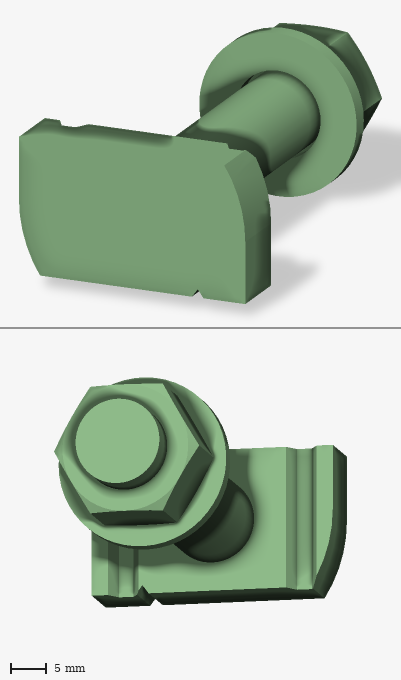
import cadquery as cq
import math


head_length = 34.5
head_height = 20.0
head_thickness = 9.0
corner_radius = 20.0
corner_rise = 10.85
shank_diameter = 12.0
bolt_length = 69.0

groove_spacing = 25.5
groove_floor = 2.1
groove_depth = 2.0
groove_flank_angle = 30.0

notch_x = 10.0
notch_width = 1.8
notch_depth = 1.2

nut_sides = 6
nut_across_flats = 18.0
nut_height = 10.8
nut_chamfer_angle = 30.0

washer_diameter = 24.0
washer_bore = 13.0
washer_thickness = 2.5

tip_projection = 5.0
nut_start = bolt_length - tip_projection - nut_height
washer_start = nut_start - washer_thickness


def cylinder(diameter, start, length):
    """Solid cylinder on the Y axis, from start towards +Y."""
    plane = cq.Workplane("XZ", origin=(0, start, 0))
    return plane.circle(diameter / 2).extrude(-length)


def head_blank():
    """Block with two diagonally opposite corners rounded by large arcs."""
    half_length = head_length / 2
    half_height = head_height / 2
    arc_center_x = half_length - corner_radius
    arc_center_z = half_height - corner_rise
    sweep = math.asin(corner_rise / corner_radius)
    arc_end_x = arc_center_x + corner_radius * math.cos(sweep)
    arc_mid_x = arc_center_x + corner_radius * math.cos(sweep / 2)
    arc_mid_z = arc_center_z + corner_radius * math.sin(sweep / 2)
    return (
        cq.Workplane("XZ")
        .moveTo(-half_length, half_height)
        .lineTo(arc_end_x, half_height)
        .threePointArc((arc_mid_x, arc_mid_z), (half_length, arc_center_z))
        .lineTo(half_length, -half_height)
        .lineTo(-arc_end_x, -half_height)
        .threePointArc((-arc_mid_x, -arc_mid_z), (-half_length, -arc_center_z))
        .close()
        .extrude(-head_thickness)
    )


def clamping_groove(center_x):
    """Trapezoidal groove running along Z through the inner face of the head."""
    half_floor = groove_floor / 2
    half_mouth = half_floor + groove_depth * math.tan(math.radians(groove_flank_angle))
    floor_y = head_thickness - groove_depth
    return (
        cq.Workplane("XY")
        .moveTo(center_x - half_mouth, head_thickness)
        .lineTo(center_x - half_floor, floor_y)
        .lineTo(center_x + half_floor, floor_y)
        .lineTo(center_x + half_mouth, head_thickness)
        .close()
        .extrude(head_height, both=True)
    )


def marking_notch():
    """V-shaped notch through the head thickness in its lower side."""
    bottom_z = -head_height / 2
    return (
        cq.Workplane("XZ")
        .moveTo(notch_x - notch_width / 2, bottom_z)
        .lineTo(notch_x, bottom_z + notch_depth)
        .lineTo(notch_x + notch_width / 2, bottom_z)
        .close()
        .extrude(-head_thickness)
    )


def make_bolt():
    """T-head and plain shank as one body."""
    head = head_blank()
    for side in (-1, 1):
        head = head.cut(clamping_groove(side * groove_spacing / 2))
    head = head.cut(marking_notch())
    shank = cylinder(shank_diameter, head_thickness, bolt_length - head_thickness)
    return head.union(shank)


def make_washer():
    """Flat ring with clearance around the shank."""
    disc = cylinder(washer_diameter, washer_start, washer_thickness)
    return disc.cut(cylinder(washer_bore, washer_start, washer_thickness))


def make_nut():
    """Hexagon nut with conical chamfers on the corners of both faces."""
    across_corners = nut_across_flats / math.cos(math.pi / nut_sides)
    flat_radius = nut_across_flats / 2
    corner_reach = across_corners / 2
    chamfer_height = (corner_reach - flat_radius) * math.tan(math.radians(nut_chamfer_angle))
    nut_end = nut_start + nut_height

    hexagon = (
        cq.Workplane("XZ", origin=(0, nut_start, 0))
        .polygon(nut_sides, across_corners)
        .extrude(-nut_height)
    )
    chamfer_envelope = (
        cq.Workplane("XY")
        .moveTo(0, nut_start)
        .lineTo(flat_radius, nut_start)
        .lineTo(corner_reach, nut_start + chamfer_height)
        .lineTo(corner_reach, nut_end - chamfer_height)
        .lineTo(flat_radius, nut_end)
        .lineTo(0, nut_end)
        .close()
        .revolve(360, (0, 0, 0), (0, 1, 0))
    )
    bore = cylinder(shank_diameter, nut_start, nut_height)
    return hexagon.intersect(chamfer_envelope).cut(bore)


bolt = make_bolt()
washer = make_washer()
nut = make_nut()

result = cq.Compound.makeCompound([bolt.val(), washer.val(), nut.val()])